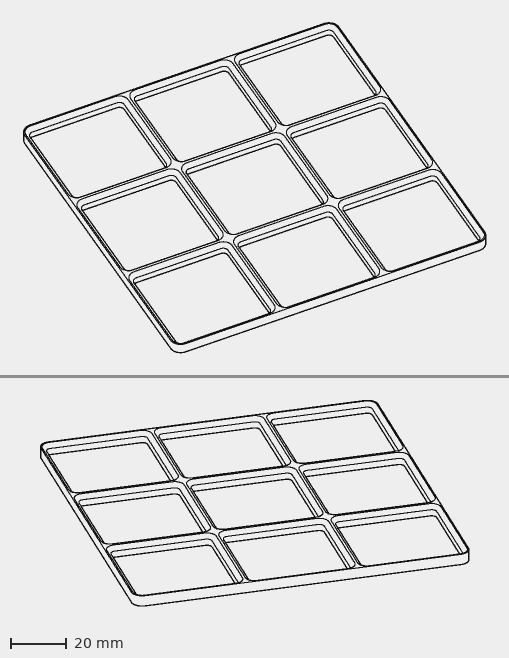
import cadquery as cq

outer_side = 126.0
cells_per_side = 3
height = 4.2
corner_radius = 4.0
rim_half_width = 0.5
straight_height = 2.5

pitch = outer_side / cells_per_side
bevel = height - straight_height
throat_inset = rim_half_width + bevel


def rounded_square(inset, base_height):
    """Cell outline, moved inwards from the pitch square by the inset."""
    return (
        cq.Sketch()
        .rect(pitch - 2 * inset, pitch - 2 * inset)
        .vertices()
        .fillet(corner_radius - inset)
        .moved(cq.Location(cq.Vector(0, 0, base_height)))
    )


def cell_cutter():
    """Straight throat below a flared mouth, centred on the origin."""
    throat = cq.Workplane("XY").placeSketch(rounded_square(throat_inset, 0)).extrude(height)
    mouth = (
        cq.Workplane("XY")
        .placeSketch(
            rounded_square(throat_inset, straight_height),
            rounded_square(rim_half_width, height),
        )
        .loft()
    )
    return throat.union(mouth)


plate = (
    cq.Workplane("XY")
    .box(outer_side, outer_side, height, centered=(True, True, False))
    .edges("|Z")
    .fillet(corner_radius)
)

cutter = cell_cutter().val()
cell_centres = cq.Workplane("XY").rarray(pitch, pitch, cells_per_side, cells_per_side)
cells = cell_centres.eachpoint(lambda place: cutter.moved(place))
result = plate.cut(cells)